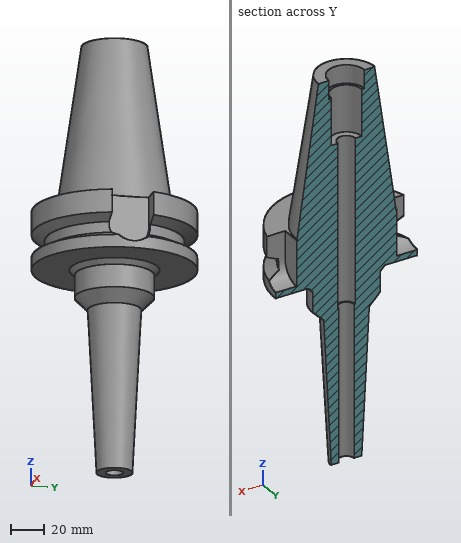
import cadquery as cq

taper_length = 102.0
taper_top_radius = 20.0
gauge_radius = 35.0
nose_z = taper_length - 266.8

flange_radius = 50.02
flange_top_z = -1.5
flange_bottom_z = -38.0
groove_floor_radius = 42.2
groove_upper_edge_z = -16.0
groove_floor_top_z = -19.7
groove_floor_bottom_z = -26.5
groove_lower_edge_z = -30.1

collar_radius = 24.0
collar_top_chamfer = 3.2
collar_bottom_z = -55.2
nose_top_radius = 16.3
nose_tip_radius = 11.0
nose_top_z = collar_bottom_z - (collar_radius - nose_top_radius)

mouth_radius = 12.5
mouth_depth = 12.8
thread_radius = 10.7
thread_depth = 45.4
relief_radius = 6.1
relief_depth = 160.0
through_radius = 5.3

slot_width = 25.5
slot_floor_x = 35.5
slot_bottom_z = -33.5


def make_body():
    profile = [
        (0, taper_length),
        (taper_top_radius, taper_length),
        (gauge_radius, 0),
        (gauge_radius, flange_top_z),
        (flange_radius, flange_top_z),
        (flange_radius, groove_upper_edge_z),
        (groove_floor_radius, groove_floor_top_z),
        (groove_floor_radius, groove_floor_bottom_z),
        (flange_radius, groove_lower_edge_z),
        (flange_radius, flange_bottom_z),
        (collar_radius + collar_top_chamfer, flange_bottom_z),
        (collar_radius, flange_bottom_z - collar_top_chamfer),
        (collar_radius, collar_bottom_z),
        (nose_top_radius, nose_top_z),
        (nose_tip_radius, nose_z),
        (0, nose_z),
    ]
    return cq.Workplane("XZ").polyline(profile).close().revolve(360, (0, 0), (0, 1))


def bore_step(radius, depth):
    return cq.Workplane("XY").workplane(offset=taper_length).circle(radius).extrude(-depth)


def drive_slot(side):
    """Slot cutter on the +X (side = 1) or -X (side = -1) side of the flange."""
    half_width = slot_width / 2
    arc_center_z = slot_bottom_z + half_width
    cut_depth = flange_radius - slot_floor_x
    return (
        cq.Workplane("YZ")
        .workplane(offset=side * slot_floor_x)
        .moveTo(-half_width, flange_top_z)
        .lineTo(-half_width, arc_center_z)
        .threePointArc((0, slot_bottom_z), (half_width, arc_center_z))
        .lineTo(half_width, flange_top_z)
        .close()
        .extrude(side * cut_depth)
    )


result = make_body()

bore_steps = [
    (mouth_radius, mouth_depth),
    (thread_radius, thread_depth),
    (relief_radius, relief_depth),
    (through_radius, taper_length - nose_z),
]
for step_radius, step_depth in bore_steps:
    result = result.cut(bore_step(step_radius, step_depth))

for slot_side in (-1, 1):
    result = result.cut(drive_slot(slot_side))